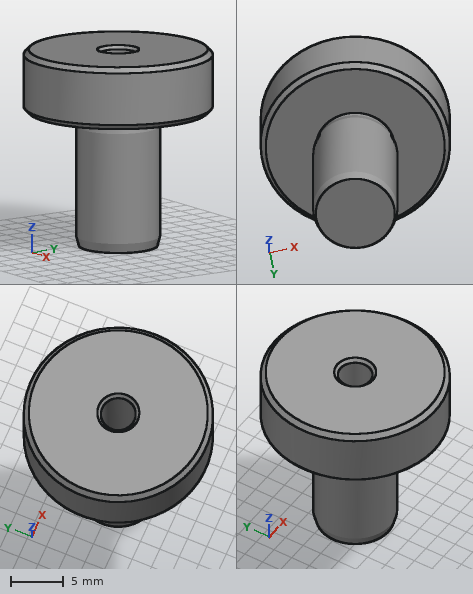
import cadquery as cq
import math

total_height = 19.0
head_radius = 18.0 / 2
head_height = 6.0
head_chamfer = 0.5

shank_radius = 8.0 / 2
taper_depth = 0.25
taper_angle = 15.0
neck_height = 0.5
taper_height = taper_depth / math.tan(math.radians(taper_angle))
neck_radius = shank_radius - taper_depth

hole_radius = 3.3 / 2
mouth_radius = 3.99 / 2
hole_depth = 9.5
drill_point_angle = 118.0

head_bottom = total_height - head_height
neck_bottom = head_bottom - neck_height


def make_body():
    """Revolve the half outline of the head, neck and shank."""
    return (
        cq.Workplane("XZ")
        .lineTo(neck_radius, 0)
        .lineTo(shank_radius, taper_height)
        .lineTo(shank_radius, neck_bottom - taper_height)
        .lineTo(neck_radius, neck_bottom)
        .lineTo(neck_radius, head_bottom)
        .lineTo(head_radius - head_chamfer, head_bottom)
        .lineTo(head_radius, head_bottom + head_chamfer)
        .lineTo(head_radius, total_height - head_chamfer)
        .lineTo(head_radius - head_chamfer, total_height)
        .lineTo(0, total_height)
        .close()
        .revolve(360, (0, 0), (0, 1))
    )


def make_hole():
    """Revolve the half outline of the hole, with a 45 degree countersink."""
    mouth_depth = mouth_radius - hole_radius
    point_depth = hole_radius / math.tan(math.radians(drill_point_angle / 2))
    hole_bottom = total_height - hole_depth
    return (
        cq.Workplane("XZ")
        .moveTo(0, total_height)
        .lineTo(mouth_radius, total_height)
        .lineTo(hole_radius, total_height - mouth_depth)
        .lineTo(hole_radius, hole_bottom)
        .lineTo(0, hole_bottom - point_depth)
        .close()
        .revolve(360, (0, 0), (0, 1))
    )


result = make_body().cut(make_hole())